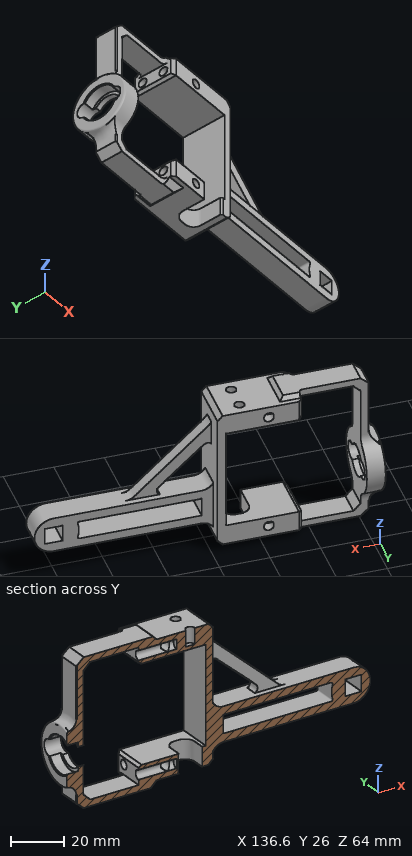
import cadquery as cq
import math


TOTAL_LENGTH = 136.6

CLAMP_HEIGHT = 59.8
CLAMP_WIDTH = 20.2
CLAMP_FRONT = 32.2
CLAMP_BACK = 65.8
WALL = 3.4
LEG_THICKNESS = 8.6
CLAMP_CHAMFER = 2.0
LEG_END_CHAMFER = 1.4
LEG_LIP_BEVEL = 1.0

HOLE_DIAMETER = 4.0
HOLE_HEIGHT = 25.3
CROSS_HOLE_X = 45.5
VERTICAL_HOLE_X = 55.6
HOLE_SPACING = 10.1
VERTICAL_HOLE_DEPTH = 6.8
LENGTHWISE_HOLE_DEPTH = 17.1

NOTCH_WIDTH = 10.5
NOTCH_DEPTH = 14.5
NOTCH_CORNER = 4.2
NOTCH_LEAD_IN = 0.8

STRAP_WIDTH = 10.1
STRAP_TOP = 31.5
STRAP_BOTTOM = -32.5
STRAP_FRONT = 4.2
STRAP_BACK = 7.6
STRAP_THICKNESS = 3.0
STRAP_CORNER_X = 3.4
STRAP_CORNER_Z = 3.0
STRAP_INNER_CORNER = 2.9
STRAP_EDGE_CHAMFER = 0.4
STRAP_FLARE = 1.6
PAD_WIDTH = 16.1
PAD_END = 40.5

RING_DIAMETER = 26.0
RING_Z = -10.0
RING_EDGE_FILLET = 0.8
RING_SIDE_BLEND = 4.9
RING_FRONT_BLEND = 4.0
BORE_DIAMETER = 13.0
COUNTERBORE_DIAMETER = 15.7
COUNTERBORE_DEPTH = 5.0
COUNTERBORE_CHAMFER = 0.4
KEYWAY_LENGTH = 21.0
KEYWAY_WIDTH = 7.1

ARM_HEIGHT = 15.3
ARM_WIDTH = 10.2
ARM_Z = -14.5
ARM_ROOT_LENGTH = 4.8
ARM_ROOT_RISE = 2.6
ARM_SLOT_START = 70.5
ARM_SLOT_END_RADIUS = 10.0
ARM_SLOT_CORNER = 0.7
ARM_SLOT_HEIGHT = 7.8
SQUARE_HOLE = 7.0

BRACE_WIDTH = 5.2
BRACE_TOP = 22.0
BRACE_FOOT = 97.8
BRACE_TOE_FILLET = 4.8
BRACE_ROOT_LENGTH = 1.5
BRACE_ROOT_RISE = 0.4

WINDOW_FOOT = 86.2
WINDOW_LOWER_BULGE = (87.4, -4.9)
WINDOW_LOWER_END = (86.7, -3.4)
WINDOW_UPPER_END = (68.7, 12.5)
WINDOW_UPPER_BULGE = (67.2, 13.0)
WINDOW_TOP = 12.3


def block(x_range, y_range, z_range):
    """Box spanning the given (start, end) pairs."""
    sizes = [end - start for start, end in (x_range, y_range, z_range)]
    corner = (x_range[0], y_range[0], z_range[0])
    return cq.Workplane("XY").box(*sizes, centered=False).translate(corner)


def side_plate(outline, width):
    """Closed XZ outline made solid, centred on the middle plane."""
    return outline.close().extrude(width / 2, both=True)


half_height = CLAMP_HEIGHT / 2
half_width = CLAMP_WIDTH / 2
leg_inside = half_height - LEG_THICKNESS
arm_top = ARM_Z + ARM_HEIGHT / 2
arm_bottom = ARM_Z - ARM_HEIGHT / 2
ring_radius = RING_DIAMETER / 2


def make_clamp():
    lip_x = CLAMP_FRONT + LEG_END_CHAMFER
    lip_z = leg_inside + LEG_LIP_BEVEL
    bevel_x = CLAMP_BACK - CLAMP_CHAMFER
    bevel_z = half_height - CLAMP_CHAMFER
    wall_x = CLAMP_BACK - WALL
    upper_half = [
        (wall_x, leg_inside),
        (lip_x, leg_inside),
        (CLAMP_FRONT, lip_z),
        (CLAMP_FRONT, half_height),
        (bevel_x, half_height),
        (CLAMP_BACK, bevel_z),
    ]
    lower_half = [(x, -z) for x, z in reversed(upper_half)]
    body = side_plate(cq.Workplane("XZ").polyline(upper_half + lower_half), CLAMP_WIDTH)
    return body.faces("<X").edges("|Z").chamfer(LEG_END_CHAMFER)


def make_screw_holes():
    radius = HOLE_DIAMETER / 2
    cross_points = [(CROSS_HOLE_X, HOLE_HEIGHT), (CROSS_HOLE_X, -HOLE_HEIGHT)]
    cross = cq.Workplane("XZ").pushPoints(cross_points)
    holes = cross.circle(radius).extrude(half_width, both=True)
    for y in (-HOLE_SPACING / 2, HOLE_SPACING / 2):
        vertical = cq.Workplane("XY", origin=(VERTICAL_HOLE_X, y, half_height))
        holes = holes.union(vertical.circle(radius).extrude(-VERTICAL_HOLE_DEPTH))
        for z in (-HOLE_HEIGHT, HOLE_HEIGHT):
            lengthwise = cq.Workplane("YZ", origin=(CLAMP_FRONT, y, z))
            holes = holes.union(lengthwise.circle(radius).extrude(LENGTHWISE_HOLE_DEPTH))
    return holes


def make_notch():
    left = VERTICAL_HOLE_X - NOTCH_WIDTH / 2
    right = VERTICAL_HOLE_X + NOTCH_WIDTH / 2
    end = -half_width + NOTCH_DEPTH
    levels = (-half_height, -leg_inside)
    notch = block((left, right), (-half_width, end), levels)
    notch = notch.edges("|Z and >Y").fillet(NOTCH_CORNER)
    lead_in = (
        cq.Workplane("XY", origin=(right, -half_width, -half_height))
        .polyline([(0, 0), (NOTCH_LEAD_IN, 0), (0, NOTCH_LEAD_IN)])
        .close()
        .extrude(LEG_THICKNESS)
    )
    return notch.union(lead_in)


def make_bow():
    """Front upright and the two horizontal runs, with bevelled corners."""
    outer_x = STRAP_FRONT + STRAP_CORNER_X
    inner_x = STRAP_BACK + STRAP_INNER_CORNER
    inner_top = STRAP_TOP - STRAP_THICKNESS
    inner_bottom = STRAP_BOTTOM + STRAP_THICKNESS
    outline = cq.Workplane("XZ").polyline([
        (CLAMP_FRONT, STRAP_TOP),
        (outer_x, STRAP_TOP),
        (STRAP_FRONT, STRAP_TOP - STRAP_CORNER_Z),
        (STRAP_FRONT, STRAP_BOTTOM + STRAP_CORNER_Z),
        (outer_x, STRAP_BOTTOM),
        (CLAMP_FRONT, STRAP_BOTTOM),
        (CLAMP_FRONT, inner_bottom),
        (inner_x, inner_bottom),
        (STRAP_BACK, inner_bottom + STRAP_INNER_CORNER),
        (STRAP_BACK, inner_top - STRAP_INNER_CORNER),
        (inner_x, inner_top),
        (CLAMP_FRONT, inner_top),
    ])
    bow = side_plate(outline, STRAP_WIDTH)
    return bow.faces("<X").edges("|Z").chamfer(STRAP_EDGE_CHAMFER)


def make_pad(outside, side):
    """Bevelled end of the strap lying on a leg; side is 1 on the upper leg and -1 on the lower."""
    bevel = abs(outside) - half_height
    pad_half = PAD_WIDTH / 2
    pad = block((CLAMP_FRONT, PAD_END), (-pad_half, pad_half), (half_height - bevel, abs(outside)))
    bevelled_edges = pad.faces(">Z").edges(">X or >Y or <Y")
    pad = bevelled_edges.chamfer(bevel)

    flare_start = CLAMP_FRONT - STRAP_FLARE
    strap_half = STRAP_WIDTH / 2
    flare_half = strap_half + STRAP_FLARE
    reach = STRAP_FLARE * math.sqrt(0.5)
    flare = (
        cq.Workplane("XY", origin=(0, 0, abs(outside) - STRAP_THICKNESS))
        .moveTo(flare_start, -strap_half)
        .threePointArc((flare_start + reach, -flare_half + reach), (CLAMP_FRONT, -flare_half))
        .lineTo(CLAMP_FRONT, flare_half)
        .threePointArc((flare_start + reach, flare_half - reach), (flare_start, strap_half))
        .close()
        .extrude(STRAP_THICKNESS)
    )
    slope_top = pad_half - bevel
    envelope = (
        cq.Workplane("YZ", origin=(flare_start, 0, 0))
        .polyline([
            (-pad_half, 0),
            (-pad_half, half_height),
            (-slope_top, abs(outside)),
            (slope_top, abs(outside)),
            (pad_half, half_height),
            (pad_half, 0),
        ])
        .close()
        .extrude(STRAP_FLARE)
    )
    end = pad.union(flare.intersect(envelope))
    return end if side > 0 else end.mirror("XY")


def make_ring():
    """Ring with its necks flowing into the upright on the sides and on the front."""
    strap_half = STRAP_WIDTH / 2
    blend_y = strap_half + RING_SIDE_BLEND
    blend_distance = ring_radius + RING_SIDE_BLEND
    neck = math.sqrt(blend_distance**2 - blend_y**2)
    blend_centre_x = STRAP_FRONT - RING_FRONT_BLEND
    blend_start = math.asin((RING_EDGE_FILLET - blend_centre_x) / RING_FRONT_BLEND)
    blend_middle = (blend_start + math.pi / 2) / 2
    blend_radius = ring_radius + RING_FRONT_BLEND * math.cos(blend_start)

    plane = cq.Workplane("YZ", origin=(0, 0, RING_Z))
    neck_shape = plane.rect(2 * blend_y, 2 * neck).extrude(STRAP_BACK)
    corners = [(sy * blend_y, sz * neck) for sy in (-1, 1) for sz in (-1, 1)]
    neck_shape = neck_shape.cut(plane.pushPoints(corners).circle(RING_SIDE_BLEND).extrude(STRAP_BACK))
    touch_y = blend_y * ring_radius / blend_distance
    neck_shape = neck_shape.intersect(plane.rect(2 * touch_y, 2 * neck).extrude(STRAP_BACK))
    strip = plane.rect(STRAP_WIDTH, 2 * blend_radius).extrude(STRAP_BACK)
    outline = plane.circle(ring_radius).extrude(STRAP_BACK).union(neck_shape).union(strip)

    bend = math.sqrt(0.5)
    profile = (
        cq.Workplane("XY")
        .moveTo(0, 0)
        .lineTo(0, ring_radius - RING_EDGE_FILLET)
        .threePointArc(
            (RING_EDGE_FILLET * (1 - bend), ring_radius - RING_EDGE_FILLET * (1 - bend)),
            (RING_EDGE_FILLET, ring_radius),
        )
        .threePointArc(
            (
                blend_centre_x + RING_FRONT_BLEND * math.sin(blend_middle),
                blend_radius - RING_FRONT_BLEND * math.cos(blend_middle),
            ),
            (STRAP_FRONT, blend_radius),
        )
        .lineTo(STRAP_BACK, blend_radius)
        .lineTo(STRAP_BACK, 0)
        .close()
    )
    envelope = profile.revolve(360, (0, 0, 0), (1, 0, 0)).translate((0, 0, RING_Z))
    return outline.intersect(envelope)


def make_ring_opening():
    plane = cq.Workplane("YZ", origin=(0, 0, RING_Z))
    bore = plane.circle(BORE_DIAMETER / 2).extrude(STRAP_BACK)
    keyway = plane.slot2D(KEYWAY_LENGTH, KEYWAY_WIDTH).extrude(STRAP_BACK)
    counterbore = plane.circle(COUNTERBORE_DIAMETER / 2).extrude(COUNTERBORE_DEPTH)
    rim_radius = COUNTERBORE_DIAMETER / 2 + COUNTERBORE_CHAMFER
    rim = plane.circle(rim_radius).extrude(COUNTERBORE_CHAMFER, taper=45)
    return bore.union(keyway).union(counterbore).union(rim)


def make_arm():
    tip_x = TOTAL_LENGTH - ARM_HEIGHT / 2
    root_end = CLAMP_BACK + ARM_ROOT_LENGTH
    root_radius = (ARM_ROOT_LENGTH**2 + ARM_ROOT_RISE**2) / (2 * ARM_ROOT_RISE)
    middle_run = ARM_ROOT_LENGTH / 2
    middle_rise = root_radius - math.sqrt(root_radius**2 - middle_run**2)
    outline = (
        cq.Workplane("XZ")
        .moveTo(CLAMP_BACK, arm_top + ARM_ROOT_RISE)
        .threePointArc((root_end - middle_run, arm_top + middle_rise), (root_end, arm_top))
        .lineTo(tip_x, arm_top)
        .threePointArc((TOTAL_LENGTH, ARM_Z), (tip_x, arm_bottom))
        .lineTo(root_end, arm_bottom)
        .threePointArc(
            (root_end - middle_run, arm_bottom - middle_rise),
            (CLAMP_BACK, arm_bottom - ARM_ROOT_RISE),
        )
    )
    arm = side_plate(outline, ARM_WIDTH)
    half_arm = ARM_WIDTH / 2
    half_slot = ARM_SLOT_HEIGHT / 2
    slot = block(
        (ARM_SLOT_START, tip_x),
        (-half_arm, half_arm),
        (ARM_Z - half_slot, ARM_Z + half_slot),
    )
    tip_disc = cq.Workplane("XZ", origin=(tip_x, 0, ARM_Z)).circle(ARM_SLOT_END_RADIUS)
    slot = slot.cut(tip_disc.extrude(half_arm, both=True))
    slot = slot.edges("|Y and >X").fillet(ARM_SLOT_CORNER)
    square = cq.Workplane("XY").box(SQUARE_HOLE, ARM_WIDTH, SQUARE_HOLE).translate((tip_x, 0, ARM_Z))
    return arm.cut(slot).cut(square)


def make_brace():
    angle = math.atan2(BRACE_TOP - arm_top, BRACE_FOOT - CLAMP_BACK)
    slope = math.tan(angle)
    root_middle = BRACE_ROOT_LENGTH / 2
    toe = BRACE_TOE_FILLET * math.tan(angle / 2)
    toe_rise = BRACE_TOE_FILLET * (1 - math.cos(angle / 2))
    toe_end = BRACE_FOOT + toe
    outline = (
        cq.Workplane("XZ")
        .moveTo(CLAMP_BACK, BRACE_TOP + BRACE_ROOT_RISE)
        .threePointArc(
            (CLAMP_BACK + root_middle, BRACE_TOP - root_middle * slope + BRACE_ROOT_RISE / 4),
            (CLAMP_BACK + BRACE_ROOT_LENGTH, BRACE_TOP - BRACE_ROOT_LENGTH * slope),
        )
        .lineTo(BRACE_FOOT - toe * math.cos(angle), arm_top + toe * math.sin(angle))
        .threePointArc(
            (toe_end - BRACE_TOE_FILLET * math.sin(angle / 2), arm_top + toe_rise),
            (toe_end, arm_top),
        )
        .lineTo(WINDOW_FOOT, arm_top)
        .threePointArc(WINDOW_LOWER_BULGE, WINDOW_LOWER_END)
        .lineTo(*WINDOW_UPPER_END)
        .threePointArc(WINDOW_UPPER_BULGE, (CLAMP_BACK, WINDOW_TOP))
    )
    return side_plate(outline, BRACE_WIDTH)


result = make_clamp().cut(make_notch())
result = result.union(make_bow()).union(make_pad(STRAP_TOP, 1)).union(make_pad(STRAP_BOTTOM, -1))
result = result.union(make_ring()).union(make_arm()).union(make_brace())
result = result.cut(make_screw_holes()).cut(make_ring_opening())